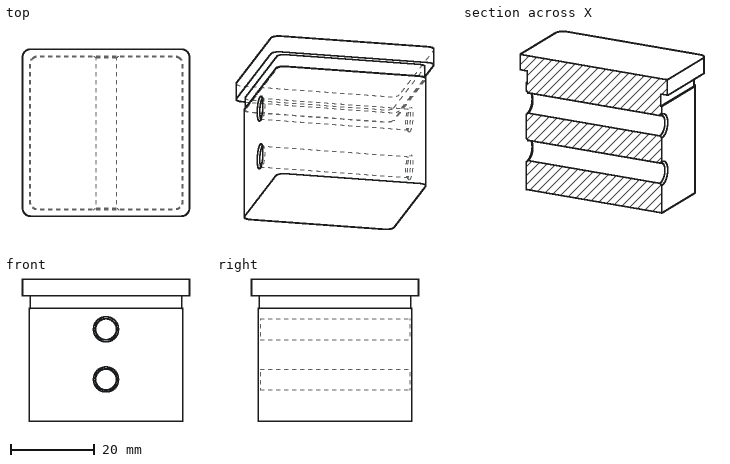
import cadquery as cq

cap_side = 40.0
cap_thickness = 4.0
cap_corner = 2.0

total_height = 34.0
body_side = 36.8
body_corner = 2.0

neck_step = 0.25
neck_height = 3.0

hole_diameter = 5.0
countersink_diameter = 6.0
hole_pitch = 12.0
lower_hole_height = 10.0

body_height = total_height - cap_thickness - neck_height
neck_side = body_side - 2 * neck_step
neck_corner = body_corner - neck_step
countersink_depth = (countersink_diameter - hole_diameter) / 2


def rounded_block(side, corner, bottom, height):
    """Square block centred on the Z axis with rounded vertical edges."""
    return (
        cq.Workplane("XY")
        .workplane(offset=bottom)
        .rect(side, side)
        .extrude(height)
        .edges("|Z")
        .fillet(corner)
    )


def cross_hole(height):
    """Cutter for one hole along Y, with 45 degree countersinks on both faces."""
    half_body = body_side / 2
    bore_radius = hole_diameter / 2
    mouth_radius = countersink_diameter / 2
    half_bore = half_body - countersink_depth
    return (
        cq.Workplane("XY")
        .moveTo(0, -half_body)
        .lineTo(mouth_radius, -half_body)
        .lineTo(bore_radius, -half_bore)
        .lineTo(bore_radius, half_bore)
        .lineTo(mouth_radius, half_body)
        .lineTo(0, half_body)
        .close()
        .revolve(360, (0, 0, 0), (0, 1, 0))
        .translate((0, 0, height))
    )


body = rounded_block(body_side, body_corner, 0, body_height)
neck = rounded_block(neck_side, neck_corner, body_height, neck_height)
cap = rounded_block(cap_side, cap_corner, body_height + neck_height, cap_thickness)

result = body.union(neck).union(cap)
for hole_height in (lower_hole_height, lower_hole_height + hole_pitch):
    result = result.cut(cross_hole(hole_height))